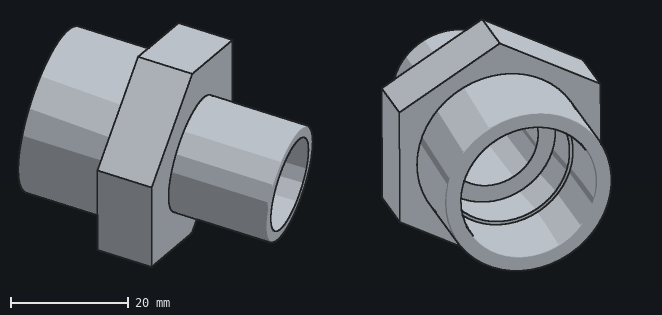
import cadquery as cq
import math

HEX_SIDES = 6

socket_length = 16.0
nut_length = 10.0
spigot_length = 18.0
total_length = socket_length + nut_length + spigot_length

socket_diameter = 29.78
spigot_diameter = 20.95
nut_across_flats = 36.0
nut_tilt = 0.2

socket_bore_diameter = 24.12
socket_bore_depth = 13.0
relief_bore_diameter = 22.91
relief_bore_depth = 21.0
through_bore_diameter = 16.76

rim_radius = 0.25


def cylinder_along_x(diameter, start, length):
    """Solid cylinder on the X axis, beginning at X = start."""
    return cq.Workplane("YZ", origin=(start, 0, 0)).circle(diameter / 2).extrude(length)


def hex_nut():
    """Hexagonal wrench section with corners at top and bottom."""
    across_corners = nut_across_flats / math.cos(math.pi / HEX_SIDES)
    return (
        cq.Workplane("YZ", origin=(socket_length, 0, 0))
        .transformed(rotate=(0, 0, 90 - nut_tilt))
        .polygon(HEX_SIDES, across_corners)
        .extrude(nut_length)
    )


def outer_body():
    """Socket, nut and spigot joined into one blank."""
    socket = cylinder_along_x(socket_diameter, 0, socket_length)
    spigot = cylinder_along_x(spigot_diameter, socket_length + nut_length, spigot_length)
    return hex_nut().union(socket).union(spigot)


def stepped_bore():
    """Cutter for the socket bore, its relief step and the through bore."""
    bore = cylinder_along_x(socket_bore_diameter, 0, socket_bore_depth)
    bore = bore.union(cylinder_along_x(relief_bore_diameter, 0, relief_bore_depth))
    return bore.union(cylinder_along_x(through_bore_diameter, 0, total_length))


def round_rims(body):
    """Round both edges of the socket mouth and the outer edge of the spigot end."""
    body = body.faces("<X").edges().fillet(rim_radius)
    spigot_rim = body.faces(">X").edges(cq.selectors.RadiusNthSelector(-1))
    return spigot_rim.fillet(rim_radius)


result = round_rims(outer_body().cut(stepped_bore()))